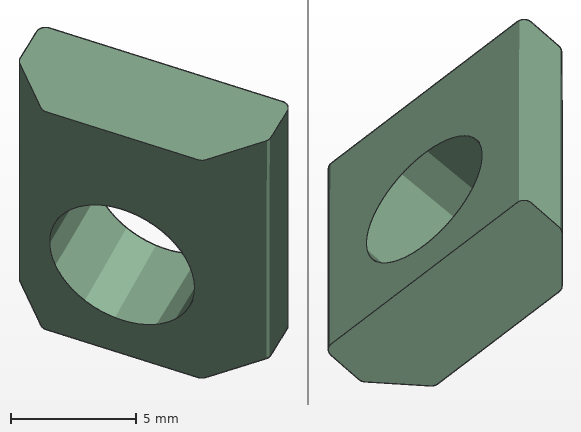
import cadquery as cq

width = 10.95
depth = 4.35
height = 12.45

flank_width = 1.99
flank_depth = 2.17

edge_radius = 0.4

hole_diameter = 6.32
hole_height = 5.08

half_width = width / 2
front_y = -depth / 2
back_y = depth / 2
shoulder_y = front_y + flank_depth
front_half_width = half_width - flank_width

body = (
    cq.Workplane("XY")
    .polyline([
        (-half_width, back_y),
        (-half_width, shoulder_y),
        (-front_half_width, front_y),
        (front_half_width, front_y),
        (half_width, shoulder_y),
        (half_width, back_y),
    ])
    .close()
    .extrude(height)
)

body = body.edges("|Z").fillet(edge_radius)

hole = (
    cq.Workplane("XZ", origin=(0, back_y, hole_height))
    .circle(hole_diameter / 2)
    .extrude(depth)
)

result = body.cut(hole)